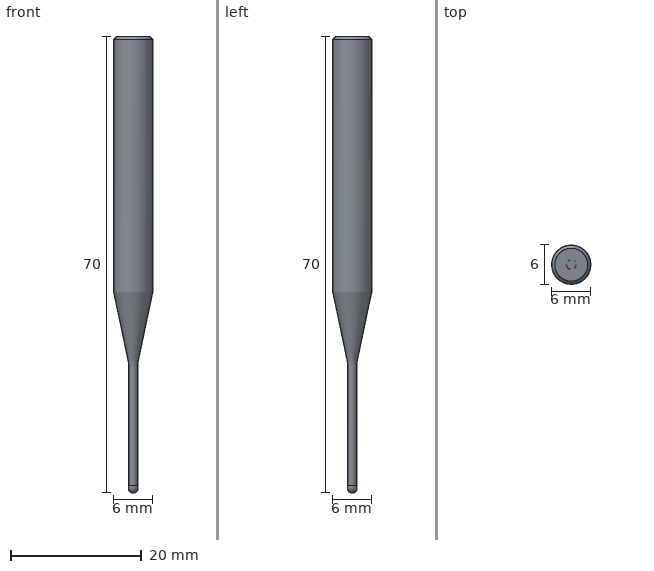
import cadquery as cq
import math

total_length = 70.0
top_z = total_length / 2
tip_z = top_z - total_length

shank_radius = 3.0
shank_chamfer = 0.5
shank_bottom_z = tip_z + 30.8

taper_bottom_radius = 0.85
taper_bottom_z = tip_z + 20.6
collar_radius = 0.75
collar_top_z = tip_z + 20.0
collar_bottom_z = tip_z + 19.5
neck_radius = 0.7

ball_radius = 0.75
head_top_z = tip_z + 1.2


def make_shank():
    """Chamfered shank, taper and slim neck, turned as one solid."""
    return (
        cq.Workplane("XZ")
        .moveTo(0, head_top_z)
        .lineTo(neck_radius, head_top_z)
        .lineTo(neck_radius, collar_bottom_z)
        .lineTo(collar_radius, collar_top_z)
        .lineTo(taper_bottom_radius, taper_bottom_z)
        .lineTo(shank_radius, shank_bottom_z)
        .lineTo(shank_radius, top_z - shank_chamfer)
        .lineTo(shank_radius - shank_chamfer, top_z)
        .lineTo(0, top_z)
        .close()
        .revolve(360, (0, 0), (0, 1))
    )


def make_cutting_head():
    """Short cylinder with a hemispherical tip, its flat top against the neck."""
    ball_center_z = tip_z + ball_radius
    arc_offset = ball_radius * math.sqrt(0.5)
    return (
        cq.Workplane("XZ")
        .moveTo(0, tip_z)
        .threePointArc((arc_offset, ball_center_z - arc_offset), (ball_radius, ball_center_z))
        .lineTo(ball_radius, head_top_z)
        .lineTo(0, head_top_z)
        .close()
        .revolve(360, (0, 0), (0, 1))
    )


shank = make_shank()
cutting_head = make_cutting_head()

result = cq.Compound.makeCompound([shank.val(), cutting_head.val()])